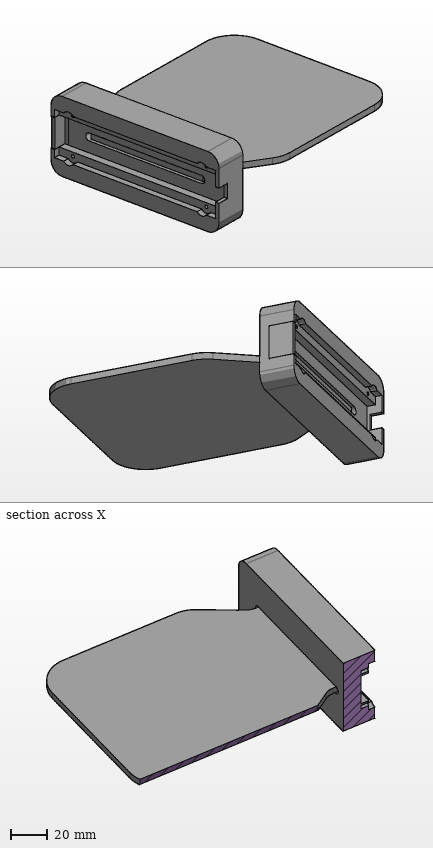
import cadquery as cq

length_y = 155.6
width = 120.0
height = 50.0

housing_depth = 20.9
housing_corner_radius = 8.0
wall = 2.5
pocket_height = 30.0
shelf_depth = 4.0
channel_height = 19.9
channel_depth = 9.0
screw_hole_diameter = 2.0
screw_hole_depth = 5.0
screw_relief_radius = 4.0
screw_x = 47.6
screw_z = 12.6
notch_height = 9.5
notch_depth = 7.5
slot_length = 85.0
slot_height = 5.0

cap_setback = 0.5
cap_end_depth = 15.2
cap_foot_length = 5.0

paddle_thickness = 4.0
paddle_start_y = 10.6
neck_width = 80.0
neck_end_y = 25.7
taper_end_y = 55.9
paddle_corner_radius = 20.0
neck_fillet_radius = 10.0

half_width = width / 2
select_margin = 1.5


def block(x_start, x_end, y_start, y_end, block_height):
    """Box between two X and two Y limits, centred on Z = 0."""
    return (
        cq.Workplane("XY")
        .box(x_end - x_start, y_end - y_start, block_height, centered=(False, False, True))
        .translate((x_start, y_start, 0))
    )


def facing_plane(y):
    """Plane at the given Y whose extrusions run toward +Y (its local y axis is Z down)."""
    return cq.Workplane(cq.Plane(origin=(0, y, 0), xDir=(1, 0, 0), normal=(0, 1, 0)))


def make_end_cap(setback):
    """L-shaped plug in the -X wall, starting at the given distance behind the open face."""
    plate = block(-half_width, -half_width + wall, setback, cap_end_depth, channel_height)
    foot = block(
        -half_width, -half_width + cap_foot_length, channel_depth, cap_end_depth, channel_height
    )
    return plate.union(foot)


def make_housing():
    """Rounded tray with a stepped pocket, screw holes, a paddle slot and side openings."""
    inner = half_width - wall
    body = block(-half_width, half_width, 0, housing_depth, height)
    body = body.edges("|Y").fillet(housing_corner_radius)

    body = body.cut(block(-inner, inner, 0, shelf_depth, pocket_height))
    body = body.cut(block(-inner, inner, 0, channel_depth, channel_height))

    screws = [(x, z) for x in (-screw_x, screw_x) for z in (-screw_z, screw_z)]
    reliefs = facing_plane(0).pushPoints(screws).circle(screw_relief_radius).extrude(shelf_depth)
    holes = (
        facing_plane(shelf_depth)
        .pushPoints(screws)
        .circle(screw_hole_diameter / 2)
        .extrude(screw_hole_depth)
    )
    body = body.cut(reliefs).cut(holes)

    slot = facing_plane(channel_depth).slot2D(slot_length, slot_height)
    body = body.cut(slot.extrude(housing_depth - channel_depth))

    body = body.cut(block(inner, half_width, 0, notch_depth, notch_height))

    return body.cut(make_end_cap(0))


def make_paddle():
    """Flat plate with a narrow neck that flares out to the full width."""
    half_neck = neck_width / 2
    paddle = (
        cq.Workplane("XY")
        .polyline(
            [
                (-half_neck, paddle_start_y),
                (half_neck, paddle_start_y),
                (half_neck, neck_end_y),
                (half_width, taper_end_y),
                (half_width, length_y),
                (-half_width, length_y),
                (-half_width, taper_end_y),
                (-half_neck, neck_end_y),
            ]
        )
        .close()
        .extrude(paddle_thickness / 2, both=True)
    )
    outer_corners = cq.selectors.BoxSelector(
        (-width, taper_end_y - select_margin, -height), (width, length_y + select_margin, height)
    )
    neck_corners = cq.selectors.BoxSelector(
        (-width, neck_end_y - select_margin, -height), (width, neck_end_y + select_margin, height)
    )
    paddle = paddle.edges("|Z").edges(outer_corners).fillet(paddle_corner_radius)
    return paddle.edges("|Z").edges(neck_corners).fillet(neck_fillet_radius)


housing = make_housing()
end_cap = make_end_cap(cap_setback)
paddle = make_paddle()

result = cq.Compound.makeCompound([housing.val(), end_cap.val(), paddle.val()])